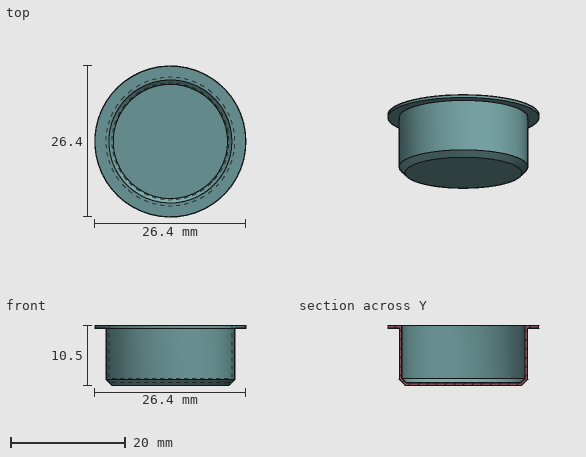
import cadquery as cq
import math

flange_diameter = 26.4
body_diameter = 22.5
bore_diameter = 21.5
height = 10.5
outer_chamfer = 1.05

thickness = (body_diameter - bore_diameter) / 2

inner_chamfer = outer_chamfer - thickness * (2 - math.sqrt(2))


def chamfered_cylinder(diameter, bottom, chamfer):
    """Cylinder from the bottom level to the rim, chamfered at its lower edge."""
    return (
        cq.Workplane("XY")
        .workplane(offset=bottom)
        .circle(diameter / 2)
        .extrude(height - bottom)
        .faces("<Z")
        .chamfer(chamfer)
    )


body = chamfered_cylinder(body_diameter, 0, outer_chamfer)
flange = (
    cq.Workplane("XY")
    .workplane(offset=height - thickness)
    .circle(flange_diameter / 2)
    .extrude(thickness)
)

cavity = chamfered_cylinder(bore_diameter, thickness, inner_chamfer)

result = body.union(flange).cut(cavity)